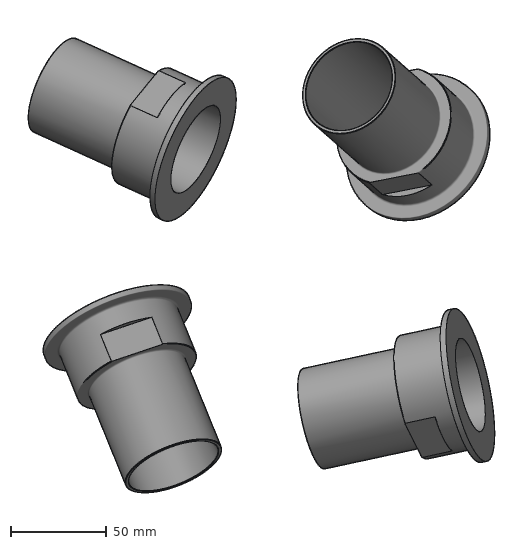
import cadquery as cq

total_length = 86.5
bore_diameter = 50.0
tube_diameter = 54.0
collar_diameter = 66.5
flange_diameter = 82.0
flange_thickness = 3.3
collar_start = 55.0
flat_length = 16.6
across_flats = 60.0
flange_root_fillet = 1.0
tube_root_fillet = 0.8
tube_end_chamfer = 0.3
edge_round = 0.35

flange_start = total_length - flange_thickness


def cylinder(diameter, start, end):
    """Solid cylinder along X between two X positions."""
    return cq.Workplane("YZ", origin=(start, 0, 0)).circle(diameter / 2).extrude(end - start)


flange = cylinder(flange_diameter, flange_start, total_length).faces("<X").edges().fillet(edge_round)
collar = cylinder(collar_diameter, collar_start, flange_start).faces("<X").edges().fillet(edge_round)
tube = cylinder(tube_diameter, 0, collar_start)


def root_ring(diameter, shoulder, fillet):
    """Concave fillet ring where a cylinder meets the shoulder on its +X side."""
    radius = diameter / 2
    profile = (
        cq.Workplane("XY")
        .moveTo(shoulder, radius - fillet)
        .lineTo(shoulder, radius + fillet)
        .radiusArc((shoulder - fillet, radius), fillet)
        .lineTo(shoulder - fillet, radius - fillet)
        .close()
    )
    return profile.revolve(360, (0, 0, 0), (1, 0, 0))


body = flange.union(collar).union(tube)
body = body.union(root_ring(collar_diameter, flange_start, flange_root_fillet))
body = body.union(root_ring(tube_diameter, collar_start, tube_root_fillet))

flat_depth = (collar_diameter - across_flats) / 2
for side in (1, -1):
    flat_cut = cq.Workplane("XY").box(flat_length, collar_diameter, flat_depth).translate(
        (collar_start + flat_length / 2, 0, side * (across_flats + flat_depth) / 2)
    )
    body = body.cut(flat_cut)

body = body.cut(cylinder(bore_diameter, 0, total_length))

result = body.faces("<X").edges().chamfer(tube_end_chamfer)